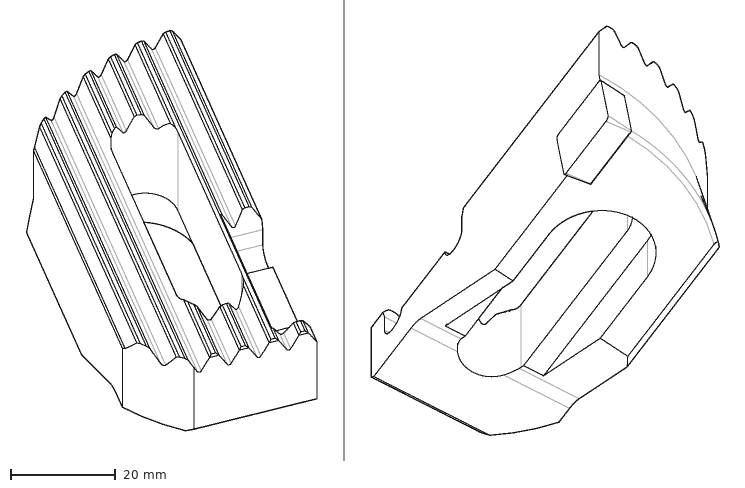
import cadquery as cq
import math

LENGTH = 86.5
TOTAL_WIDTH = 36.3
TOTAL_HEIGHT = 37.4
HOUSING_WIDTH = 35.7
RELIEF_ANGLE = 6.0

TOOTH_COUNT = 6
TOOTH_ROW_SPAN = 30.0
TOOTH_PITCH = TOOTH_ROW_SPAN / (TOOTH_COUNT - 1)
TOOTH_DEPTH = 3.7
TIP_LAND = 0.9
TIP_CHAMFER_WIDTH = 0.5
TIP_CHAMFER_DROP = 0.3
VALLEY_WIDTH = 0.8
VALLEY_SAG = 0.3

UNDERSIDE_BACK_Z = 0.35
FRONT_BOTTOM_CHAMFER = 2.0
NOSE_EDGE_RADIUS = 0.9

NOSE_AXIS_X = 50.8
NOSE_AXIS_Y = 36.7
NOSE_RADIUS = 46.45
CONE_TOP_Z = 19.9
CONE_ANGLE = 10.9

TAIL_ARC_START_X = 75.95
TAIL_ARC_END_Y = 10.9
TAIL_ARC_RADIUS = 44.4
TAIL_BOTTOM_Z = 16.8
TAIL_CHAMFER = 0.95
RAMP_TOP_X = 70.2
RAMP_ANGLE = 30.0
RAMP_BLEND_RADIUS = 6.9

SLOT_LENGTH = 51.55
SLOT_WIDTH = 13.15
SLOT_X = 48.9
SLOT_Y = 20.1
HEAD_RECESS_RADIUS = 11.1
HEAD_SEAT_Z = 15.0

KEY_X = 67.7
KEY_HALF_WIDTH = 13.9
KEY_FRONT_Y = 27.7
KEY_MOUTH_DEPTH = 5.7
KEY_MOUTH_ANGLE = 15.0
KEY_DEPTH = 10.0
KEY_GROOVE_RADIUS = 3.0

INSERT_SIZE = 16.0
INSERT_THICKNESS = 5.6
INSERT_LEAN_ANGLE = 10.0
INSERT_CORNER_RADIUS = 0.8

MARGIN = 8.65


def tan_deg(angle):
    return math.tan(math.radians(angle))


def make_section():
    """Cross-section in YZ: serrated top, sloping underside, chamfered front corner."""
    tip_half = TIP_LAND / 2
    shoulder_half = tip_half + TIP_CHAMFER_WIDTH
    valley_half = VALLEY_WIDTH / 2
    shoulder_z = TOTAL_HEIGHT - TIP_CHAMFER_DROP
    valley_z = TOTAL_HEIGHT - TOOTH_DEPTH
    flank_foot_z = valley_z + VALLEY_SAG
    underside_slope = tan_deg(RELIEF_ANGLE)
    front_underside_z = UNDERSIDE_BACK_Z + (HOUSING_WIDTH - FRONT_BOTTOM_CHAMFER) * underside_slope

    section = cq.Workplane("YZ").moveTo(0, front_underside_z + FRONT_BOTTOM_CHAMFER)
    section = section.lineTo(0, valley_z)
    for tooth in range(TOOTH_COUNT):
        tip_y = (tooth + 0.5) * TOOTH_PITCH
        if tooth == 0:
            section = section.lineTo(valley_half, flank_foot_z)
        else:
            valley_y = tooth * TOOTH_PITCH
            section = section.threePointArc((valley_y, valley_z), (valley_y + valley_half, flank_foot_z))
        section = section.lineTo(tip_y - shoulder_half, shoulder_z)
        section = section.lineTo(tip_y - tip_half, TOTAL_HEIGHT)
        section = section.lineTo(tip_y + tip_half, TOTAL_HEIGHT)
        section = section.lineTo(tip_y + shoulder_half, shoulder_z)
        if tooth < TOOTH_COUNT - 1:
            section = section.lineTo((tooth + 1) * TOOTH_PITCH - valley_half, flank_foot_z)
    section = section.lineTo(HOUSING_WIDTH, flank_foot_z)
    section = section.lineTo(HOUSING_WIDTH, UNDERSIDE_BACK_Z)
    section = section.lineTo(FRONT_BOTTOM_CHAMFER, front_underside_z)
    return section.close().extrude(LENGTH)


def make_side_outline():
    """Outline in XZ: flat tail, blended ramp, tiny bevels on the tail end."""
    ramp_foot_x = RAMP_TOP_X - TAIL_BOTTOM_Z / tan_deg(RAMP_ANGLE)
    blend = RAMP_BLEND_RADIUS * tan_deg(RAMP_ANGLE / 2)
    ramp_angle = math.radians(RAMP_ANGLE)
    blend_start = (RAMP_TOP_X - blend * math.cos(ramp_angle), TAIL_BOTTOM_Z - blend * math.sin(ramp_angle))
    blend_end = (RAMP_TOP_X + blend, TAIL_BOTTOM_Z)
    return (
        cq.Workplane("XZ")
        .moveTo(0, 0)
        .lineTo(ramp_foot_x, 0)
        .lineTo(*blend_start)
        .radiusArc(blend_end, RAMP_BLEND_RADIUS)
        .lineTo(LENGTH - TAIL_CHAMFER, TAIL_BOTTOM_Z)
        .lineTo(LENGTH, TAIL_BOTTOM_Z + TAIL_CHAMFER)
        .lineTo(LENGTH, TOTAL_HEIGHT - TIP_CHAMFER_DROP)
        .lineTo(LENGTH - TIP_CHAMFER_WIDTH, TOTAL_HEIGHT)
        .lineTo(0, TOTAL_HEIGHT)
        .close()
        .extrude(-HOUSING_WIDTH)
    )


def make_plan_outline():
    """Outline in XY whose front tail corner is rounded off by a large arc."""
    return (
        cq.Workplane("XY")
        .moveTo(0, 0)
        .lineTo(TAIL_ARC_START_X, 0)
        .radiusArc((LENGTH, TAIL_ARC_END_Y), -TAIL_ARC_RADIUS)
        .lineTo(LENGTH, HOUSING_WIDTH)
        .lineTo(0, HOUSING_WIDTH)
        .close()
        .extrude(TOTAL_HEIGHT)
    )


def make_nose_envelope():
    """Turned shape that bounds the nose: a cylinder above, a cone widening below."""
    bottom_radius = NOSE_RADIUS + CONE_TOP_Z * tan_deg(CONE_ANGLE)
    return (
        cq.Workplane("XZ", origin=(NOSE_AXIS_X, NOSE_AXIS_Y, 0))
        .polyline([
            (0, 0),
            (bottom_radius, 0),
            (NOSE_RADIUS, CONE_TOP_Z),
            (NOSE_RADIUS, TOTAL_HEIGHT),
            (0, TOTAL_HEIGHT),
        ])
        .close()
        .revolve(360, (0, 0), (0, 1))
    )


def make_slot():
    """Through slot with a wider recess from below, so that a screw head can slide along it."""
    recess_width = 2 * HEAD_RECESS_RADIUS
    recess_length = SLOT_LENGTH - SLOT_WIDTH + recess_width
    base = cq.Workplane("XY", origin=(SLOT_X, SLOT_Y, 0))
    through_slot = base.slot2D(SLOT_LENGTH, SLOT_WIDTH).extrude(TOTAL_HEIGHT)
    head_recess = base.slot2D(recess_length, recess_width).extrude(HEAD_SEAT_Z)
    return through_slot.union(head_recess)


def make_key_recess():
    """Recess with a flared mouth, upright end walls and a round groove at the foot of each."""
    mouth_z = TOTAL_HEIGHT - KEY_MOUTH_DEPTH
    floor_z = TOTAL_HEIGHT - KEY_DEPTH
    flare_top_z = TOTAL_HEIGHT + MARGIN
    flare_top_half = KEY_HALF_WIDTH + (flare_top_z - mouth_z) * tan_deg(KEY_MOUTH_ANGLE)
    groove_x = KEY_HALF_WIDTH - KEY_GROOVE_RADIUS
    groove_inner_x = groove_x - KEY_GROOVE_RADIUS
    groove_bottom_z = floor_z - KEY_GROOVE_RADIUS
    return (
        cq.Workplane("XZ", origin=(KEY_X, KEY_FRONT_Y, 0))
        .moveTo(-flare_top_half, flare_top_z)
        .lineTo(-KEY_HALF_WIDTH, mouth_z)
        .lineTo(-KEY_HALF_WIDTH, floor_z)
        .threePointArc((-groove_x, groove_bottom_z), (-groove_inner_x, floor_z))
        .lineTo(groove_inner_x, floor_z)
        .threePointArc((groove_x, groove_bottom_z), (KEY_HALF_WIDTH, floor_z))
        .lineTo(KEY_HALF_WIDTH, mouth_z)
        .lineTo(flare_top_half, flare_top_z)
        .close()
        .extrude(-MARGIN)
    )


def make_insert():
    """Leaning four-sided plate, tapered by the relief angle from its back face forward."""
    lean_slope = tan_deg(INSERT_LEAN_ANGLE)
    lean = INSERT_SIZE * lean_slope
    corner_x = INSERT_CORNER_RADIUS * (1 - lean_slope - math.sqrt(1 + lean_slope**2))
    outline = (
        cq.Sketch()
        .polygon([
            (0, 0),
            (INSERT_SIZE, 0),
            (INSERT_SIZE + lean, INSERT_SIZE),
            (lean, INSERT_SIZE),
            (0, 0),
        ])
        .vertices()
        .fillet(INSERT_CORNER_RADIUS)
    )
    return (
        cq.Workplane("XZ", origin=(corner_x, TOTAL_WIDTH, 0))
        .placeSketch(outline)
        .extrude(INSERT_THICKNESS, taper=RELIEF_ANGLE)
    )


def round_nose_edge(body):
    """Round the curved edge between the conical nose and the underside."""
    cone_faces = body.faces("%CONE")
    lowest_edge = cone_faces.edges("<Z")
    return lowest_edge.fillet(NOSE_EDGE_RADIUS)


def make_housing(insert):
    body = make_section().intersect(make_side_outline()).intersect(make_plan_outline())
    body = body.intersect(make_nose_envelope())
    body = round_nose_edge(body)
    body = body.cut(make_slot()).cut(make_key_recess())
    return body.cut(insert)


insert = make_insert()
housing = make_housing(insert)

result = cq.Compound.makeCompound([housing.val(), insert.val()])